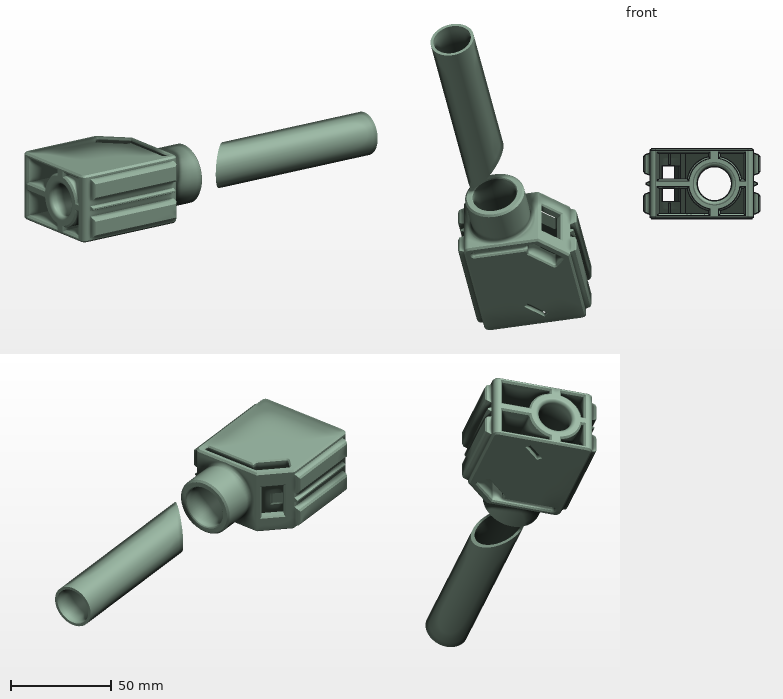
import cadquery as cq
import math

HEIGHT = 35.0
BLOCK_LEFT = -32.1
BLOCK_RIGHT = 19.5
BLOCK_DEPTH = 58.7
CORNER_CUT = 13.5
CORNER_RADIUS = 2.8
RIM_CHAMFER = 1.0

NECK_DIA = 30
NECK_END = 77.3
NECK_ROOT_FLARE = 1.7
NECK_EDGE_CHAMFER = 1.0
BORE_DIA = 17
BORE_MOUTH_RADIUS = 2.0
SOCKET_DIA = 22.4
SOCKET_MOUTH_DIA = 23.3

POCKET_LEFT = -27.6
POCKET_RIGHT = 14.7
POCKET_HEIGHT = 29.9
POCKET_DEPTH = 43.6
POCKET_MOUTH_CHAMFER = 1.0
BARREL_DIA = 27.5
SIDE_RIB = 4.7
UPRIGHT_RIB = 6.0

SLOT_FRONT = 52.6
SLOT_BACK = 55.5
SLOT_RIGHT = 15.8
SLOT_STEP_X = -12.0
SLANT_WIDTH = 7.0
SLANT_END_X = -23.3
SLANT_STEP_Y = 49.8
SLANT_CORNER_RADIUS = 1.0
SLOT_END_RADIUS = 1.1
SLOT_RIM_CHAMFER = 0.8
SLANT_WALL = 1.5
POCKET_BEVEL_START = -17
POCKET_BEVEL_END = -14.5

OUTER_WINDOW_LEFT = -28.5
OUTER_WINDOW_RIGHT = -20.5
OUTER_WINDOW_HEIGHT = 17.7
OUTER_WINDOW_CHAMFER = 0.8
INNER_WINDOW_LEFT = -26.1
INNER_WINDOW_RIGHT = -17
INNER_WINDOW_HEIGHT = 17.7
GROOVE_X = -22.4
GROOVE_WIDTH = 1.1
GROOVE_DEPTH = 0.8
GROOVE_START = 9.5

SLIT_X = -8.3
SLIT_Y = 10.5
SLIT_LENGTH = 12.2
SLIT_WIDTH = 2.8
SLIT_ANGLE = 45

RAIL_FRONT = 4.5
LEFT_RAIL_END = 45.1
RIGHT_RAIL_END = 55.6
PAD_REACH = 3.2
PAD_CENTRE = 9.8
PAD_ROOT_WIDTH = 11.0
PAD_TIP_WIDTH = 8.6
PAD_EDGE_CHAMFER = 0.8
RIDGE_REACH = 1.9
RIDGE_ROOT_WIDTH = 2.5
RIDGE_TIP_WIDTH = 0.8

TUBE_DIA = 22.0
TUBE_BORE = 19.0
TUBE_TIP = 88.0
TUBE_END = 188

SQRT2 = math.sqrt(2)
CORNER_OFFSET = BLOCK_DEPTH - CORNER_CUT - BLOCK_LEFT
SLANT_OFFSET = SLANT_STEP_Y - SLOT_STEP_X
SLANT_BACK_OFFSET = SLANT_OFFSET + SLANT_WIDTH * SQRT2
POCKET_OFFSET = SLANT_OFFSET - SLANT_WALL * SQRT2


def along_y(start):
    """XZ workplane at Y = start whose extrusions run toward +Y, with local x mirrored."""
    return cq.Workplane(cq.Plane((0, start, 0), xDir=(-1, 0, 0), normal=(0, 1, 0)))


def cylinder(diameter, start, end):
    return along_y(start).circle(diameter / 2).extrude(end - start)


def plan_prism(points, height):
    """Outline in XY extruded symmetrically about Z = 0."""
    return cq.Workplane("XY").polyline(points).close().extrude(height / 2, both=True)


def chamfer_openings(body, face_selector, size):
    """Chamfer the rims of all openings in the selected faces."""
    rims = []
    for face in body.faces(face_selector).vals():
        for wire in face.innerWires():
            rims.extend(wire.Edges())
    return body.newObject(rims).chamfer(size)


def make_block():
    outline = [
        (BLOCK_LEFT, 0),
        (BLOCK_RIGHT, 0),
        (BLOCK_RIGHT, BLOCK_DEPTH),
        (BLOCK_LEFT + CORNER_CUT, BLOCK_DEPTH),
        (BLOCK_LEFT, BLOCK_DEPTH - CORNER_CUT),
    ]
    block = plan_prism(outline, HEIGHT)
    block = block.edges("|Z").edges("<Y or >X").fillet(CORNER_RADIUS)
    return block.faces("<Z or >Z").chamfer(RIM_CHAMFER)


def make_neck():
    """Neck with a concave flare at its root and a chamfered free edge."""
    radius = NECK_DIA / 2
    flare_mid = NECK_ROOT_FLARE * (1 - 1 / SQRT2)
    profile = (
        cq.Workplane("XY")
        .moveTo(0, BLOCK_DEPTH)
        .lineTo(radius + NECK_ROOT_FLARE, BLOCK_DEPTH)
        .threePointArc(
            (radius + flare_mid, BLOCK_DEPTH + flare_mid),
            (radius, BLOCK_DEPTH + NECK_ROOT_FLARE),
        )
        .lineTo(radius, NECK_END - NECK_EDGE_CHAMFER)
        .lineTo(radius - NECK_EDGE_CHAMFER, NECK_END)
        .lineTo(0, NECK_END)
        .close()
    )
    return profile.revolve(360, (0, 0, 0), (0, 1, 0))


def make_rail(reach, root_width, tip_width, centre, end):
    """Drafted bar standing on the X = 0 plane toward +X."""
    profile = [
        (0, centre - root_width / 2),
        (reach, centre - tip_width / 2),
        (reach, centre + tip_width / 2),
        (0, centre + root_width / 2),
    ]
    return cq.Workplane("XZ", origin=(0, RAIL_FRONT, 0)).polyline(profile).close().extrude(RAIL_FRONT - end)


def make_side_rails(end):
    """Two wide pads and a small middle ridge, standing on the X = 0 plane toward +X."""
    rails = make_rail(RIDGE_REACH, RIDGE_ROOT_WIDTH, RIDGE_TIP_WIDTH, 0, end)
    for side in (1, -1):
        pad = make_rail(PAD_REACH, PAD_ROOT_WIDTH, PAD_TIP_WIDTH, side * PAD_CENTRE, end)
        rails = rails.union(pad.faces(">X").chamfer(PAD_EDGE_CHAMFER))
    return rails


def make_pocket():
    """Front cavity left free around the barrel and its four ribs."""
    width = POCKET_RIGHT - POCKET_LEFT
    middle = (POCKET_RIGHT + POCKET_LEFT) / 2
    pocket = along_y(0).center(-middle, 0).rect(width, POCKET_HEIGHT).extrude(POCKET_DEPTH)
    behind_slant = [
        (BLOCK_LEFT, BLOCK_LEFT + POCKET_OFFSET),
        (POCKET_BEVEL_START, POCKET_BEVEL_START + POCKET_OFFSET),
        (POCKET_BEVEL_END, POCKET_DEPTH),
        (BLOCK_LEFT, POCKET_DEPTH),
    ]
    pocket = pocket.cut(plan_prism(behind_slant, HEIGHT))
    pocket = pocket.cut(cylinder(BARREL_DIA, 0, POCKET_DEPTH))
    side_ribs = along_y(0).rect(3 * width, SIDE_RIB).extrude(POCKET_DEPTH)
    upright_ribs = along_y(0).rect(UPRIGHT_RIB, 2 * HEIGHT).extrude(POCKET_DEPTH)
    return pocket.cut(side_ribs).cut(upright_ribs)


def make_gate_slot():
    end_y = SLANT_END_X + SLANT_OFFSET
    across = SLANT_WIDTH / SQRT2
    outer_x = SLANT_END_X - across
    outer_y = end_y + across
    outline = [
        (SLOT_STEP_X, SLOT_FRONT),
        (SLOT_STEP_X, SLANT_STEP_Y),
        (SLANT_END_X, end_y),
        (outer_x, outer_y),
        (outer_x + SLOT_BACK - outer_y, SLOT_BACK),
        (SLOT_RIGHT, SLOT_BACK),
        (SLOT_RIGHT, SLOT_FRONT),
    ]
    slot = plan_prism(outline, HEIGHT)
    slot = slot.edges("|Z").edges("<X or <Y").fillet(SLANT_CORNER_RADIUS)
    return slot.edges("|Z and >X").fillet(SLOT_END_RADIUS)


def wall_cutter(left, right, near_offset, far_offset, lean):
    """Plan outline of an opening between two 45 degree lines y = x + offset.

    left and right are its X limits on the near line; they move by lean on the far line.
    """
    return [
        (left, left + near_offset),
        (right, right + near_offset),
        (right + lean, right + lean + far_offset),
        (left + lean, left + lean + far_offset),
    ]


def cut_between(body, outline, bottom, top):
    """Cut a plan outline out of the body between two heights, in either order."""
    floor = cq.Workplane("XY", origin=(0, 0, bottom))
    return body.cut(floor.polyline(outline).close().extrude(top - bottom))


def cut_outer_window(body):
    """Window square to the slanted corner wall, with a chamfered rim."""
    lean = (CORNER_OFFSET - SLANT_BACK_OFFSET) / 2
    outline = wall_cutter(OUTER_WINDOW_LEFT, OUTER_WINDOW_RIGHT, CORNER_OFFSET, SLANT_BACK_OFFSET, lean)
    body = cut_between(body, outline, -OUTER_WINDOW_HEIGHT / 2, OUTER_WINDOW_HEIGHT / 2)
    return chamfer_openings(body, ">(-1, 1, 0)", OUTER_WINDOW_CHAMFER)


def cut_inner_windows(body):
    """Two windows in line with Y through the pocket wall, above and below the side rib."""
    outline = wall_cutter(INNER_WINDOW_LEFT, INNER_WINDOW_RIGHT, POCKET_OFFSET, SLANT_BACK_OFFSET, 0)
    for side in (1, -1):
        body = cut_between(body, outline, side * SIDE_RIB / 2, side * INNER_WINDOW_HEIGHT / 2)
    return body


def cut_grooves(body):
    """Shallow upright grooves in the slanted pocket wall, above and below the windows."""
    left = GROOVE_X - GROOVE_WIDTH / 2
    groove = wall_cutter(left, left + GROOVE_WIDTH, POCKET_OFFSET, POCKET_OFFSET + GROOVE_DEPTH * SQRT2, 0)
    for side in (1, -1):
        body = cut_between(body, groove, side * GROOVE_START, side * POCKET_HEIGHT / 2)
    return body


def make_bottom_slit():
    """Cutter that runs from the underside up into the left pocket."""
    plate = (HEIGHT - POCKET_HEIGHT) / 2
    slit = cq.Workplane("XY").box(SLIT_LENGTH, SLIT_WIDTH, plate, centered=(True, True, False))
    return slit.rotate((0, 0, 0), (0, 0, 1), SLIT_ANGLE).translate((SLIT_X, SLIT_Y, -HEIGHT / 2))


def make_bore():
    """Through bore with a rounded front mouth, opening into the tube socket behind the slot."""
    radius = BORE_DIA / 2
    mouth_mid = BORE_MOUTH_RADIUS * (1 - 1 / SQRT2)
    socket_radius = SOCKET_DIA / 2
    mouth_chamfer = (SOCKET_MOUTH_DIA - SOCKET_DIA) / 2
    profile = (
        cq.Workplane("XY")
        .lineTo(radius + BORE_MOUTH_RADIUS, 0)
        .threePointArc((radius + mouth_mid, mouth_mid), (radius, BORE_MOUTH_RADIUS))
        .lineTo(radius, SLOT_BACK)
        .lineTo(socket_radius, SLOT_BACK)
        .lineTo(socket_radius, NECK_END - mouth_chamfer)
        .lineTo(SOCKET_MOUTH_DIA / 2, NECK_END)
        .lineTo(0, NECK_END)
        .close()
    )
    return profile.revolve(360, (0, 0, 0), (0, 1, 0))


def make_housing():
    body = cut_outer_window(make_block()).union(make_neck())
    body = chamfer_openings(body.cut(make_gate_slot()), "<Z or >Z", SLOT_RIM_CHAMFER)
    body = chamfer_openings(body.cut(make_pocket()), "<Y", POCKET_MOUTH_CHAMFER)
    body = cut_grooves(cut_inner_windows(body))
    right_rails = make_side_rails(RIGHT_RAIL_END).translate((BLOCK_RIGHT, 0, 0))
    left_rails = make_side_rails(LEFT_RAIL_END).mirror("YZ").translate((BLOCK_LEFT, 0, 0))
    body = body.union(right_rails).union(left_rails)
    return body.cut(make_bore()).cut(make_bottom_slit())


def make_tube():
    """Plain tube whose front end is cut at 45 degrees, the tip lying on the right."""
    radius = TUBE_DIA / 2
    tube = cylinder(TUBE_DIA, TUBE_TIP, TUBE_END).cut(cylinder(TUBE_BORE, TUBE_TIP, TUBE_END))
    bevel = [(radius, TUBE_TIP), (-radius, TUBE_TIP + TUBE_DIA), (-radius, TUBE_TIP)]
    return tube.cut(plan_prism(bevel, 2 * TUBE_DIA))


housing = make_housing()
tube = make_tube()

result = cq.Compound.makeCompound([housing.val(), tube.val()])